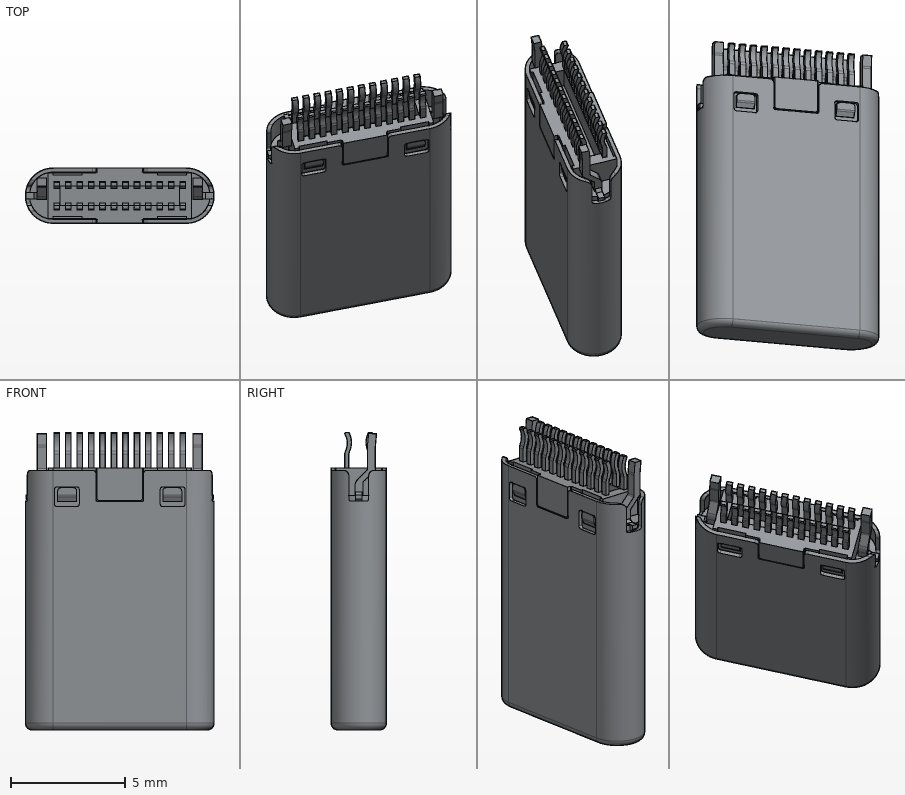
import cadquery as cq

body_width = 8.25
body_depth = 2.42
shell_top = 11.35
shell_wall = 0.18
bottom_round = 0.3
core_width = body_width - 2 * shell_wall
core_depth = body_depth - 2 * shell_wall
outer_y = body_depth / 2
core_y = core_depth / 2

housing_top = 11.46
housing_width = 6.25
end_pocket_floor = 10.26
housing_clearance = 0.03
clearance_floor = 9.7

tab_width = 1.98
tab_bottom = 10.03
tab_gap = 0.05
tab_corner = 0.1
notch_flare = 0.15

recess_width = 5.22
recess_depth_y = 0.84
recess_depth_z = 1.0

window_x = 2.315
window_width = 1.09
window_bottom = 9.76
window_top = 10.63
window_corner = 0.12
latch_x = 2.295
latch_width = 0.83
latch_top = 10.59
latch_corner = 0.15
latch_face_end = 10.27
latch_ramp_start = 10.19
latch_ramp_end = 9.98
latch_face_y = 1.15
latch_ease = 0.02

groove_x = 2.29
groove_width = 1.26
groove_depth = 0.125
groove_bottom = 10.8

end_notch_width = 0.86
end_notch_bottom = 10.0
end_notch_corner = 0.1
end_notch_flare = 0.25

contacts_per_row = 12
contact_pitch = 0.5
contact_width = 0.25
contact_inner_y = 0.43
contact_thickness = 0.19
contact_bend_start = 12.06
contact_bend_end = 12.19
contact_bow_z = 12.54
contact_top = 13.01
contact_tip_chamfer_z = 0.06
contact_tip_chamfer_y = 0.04
contact_bend_shift = 0.035
contact_bow_shift = 0.115

leg_x = 3.405
leg_width = 0.41
leg_thickness = 0.35
leg_upper_y = 0.38
leg_lower_y = -0.17
leg_slant_top = 11.38
leg_tip_bend_start = 12.36
leg_tip_bend_end = 12.45
leg_top = 12.95
leg_tip_shift = 0.05
leg_tip_ease_shift = 0.005
leg_crank_inner_radius = 0.1
foot_reach = 4.09
foot_width = 0.28
foot_bottom = 10.0
foot_shoulder_x = 3.75
foot_root_top = 10.4
foot_nose_low = 10.1
foot_nose_high = 10.28
foot_bevel_x = 4.0

overlap = 0.05
sides = (-1, 1)


def block(x_min, x_max, y_min, y_max, z_min, z_max):
    """Axis-aligned box given by its limits."""
    size = (x_max - x_min, y_max - y_min, z_max - z_min)
    return cq.Workplane().box(*size, centered=False).translate((x_min, y_min, z_min))


def stadium(width, depth, height):
    """Prism with fully rounded ends, standing on z = 0."""
    return cq.Workplane().slot2D(width, depth).extrude(height)


def flared_notch(plane, half_width, bottom, corner, flare):
    """Outline on the given plane of a notch with rounded bottom corners and a flared mouth."""
    mouth = half_width + flare
    rim = shell_top
    above = housing_top + overlap
    return (
        cq.Workplane(plane)
        .moveTo(-half_width + corner, bottom)
        .lineTo(half_width - corner, bottom)
        .radiusArc((half_width, bottom + corner), -corner)
        .lineTo(half_width, rim - flare)
        .radiusArc((mouth, rim), flare)
        .lineTo(mouth, above)
        .lineTo(-mouth, above)
        .lineTo(-mouth, rim)
        .radiusArc((-half_width, rim - flare), flare)
        .lineTo(-half_width, bottom + corner)
        .radiusArc((-half_width + corner, bottom), -corner)
        .close()
    )


def make_shell():
    """Outer sleeve with its end notches, broad-wall notches and windows."""
    shell = stadium(body_width, body_depth, shell_top).faces("<Z").edges().fillet(bottom_round)
    tab_side = tab_width / 2 + tab_gap
    center_notch = flared_notch("XZ", tab_side, tab_bottom - tab_gap, tab_corner, notch_flare)
    end_notch = flared_notch("YZ", end_notch_width / 2, end_notch_bottom, end_notch_corner, end_notch_flare)
    cutter = center_notch.extrude(outer_y, both=True)
    cutter = cutter.union(end_notch.extrude(body_width, both=True))
    window_height = window_top - window_bottom
    for side in sides:
        window = cq.Workplane().box(window_width, body_depth, window_height).edges("|Y").fillet(window_corner)
        cutter = cutter.union(window.translate((side * window_x, 0, (window_top + window_bottom) / 2)))
    core = stadium(core_width, core_depth, shell_top + overlap)
    return shell.cut(cutter.cut(core))


def make_housing_top():
    """Housing block that stands above the shell rim, with the two locating tabs."""
    half = housing_width / 2
    top = block(-half, half, -core_y, core_y, end_pocket_floor, housing_top)
    top = top.intersect(stadium(core_width, core_depth, housing_top))
    tab_height = housing_top - tab_bottom
    tabs = cq.Workplane().box(tab_width, body_depth, tab_height, centered=(True, True, False))
    tabs = tabs.edges("|Y and <Z").fillet(tab_corner)
    return top.union(tabs.translate((0, 0, tab_bottom)))


def make_end_pockets():
    """Space between the housing ends and the rounded shell ends."""
    inner = stadium(core_width, core_depth, housing_top)
    half = housing_width / 2
    pocket = block(half, body_width, -outer_y, outer_y, end_pocket_floor, housing_top)
    return pocket.union(pocket.mirror("YZ")).intersect(inner)


def make_wall_gaps():
    """Thin gaps between the housing faces and the broad shell walls, on both sides of each tab."""
    tab_side = tab_width / 2 + tab_gap
    gap = block(tab_side, housing_width / 2, core_y - housing_clearance, core_y, clearance_floor, housing_top)
    gap = gap.intersect(stadium(core_width, core_depth, housing_top))
    gap = gap.union(gap.mirror("YZ"))
    return gap.union(gap.mirror("XZ"))


def make_grooves():
    """Vertical grooves in both broad housing faces."""
    grooves = cq.Workplane()
    for side_x in sides:
        for side_y in sides:
            center = side_x * groove_x
            groove = cq.Workplane().box(groove_width, groove_depth, housing_top - groove_bottom)
            middle_z = (housing_top + groove_bottom) / 2
            grooves = grooves.add(groove.translate((center, side_y * (core_y - groove_depth / 2), middle_z)))
    return grooves.combine()


def make_latch():
    """Latch on the -Y face: flat face with rounded top corners above a receding ramp."""
    root_y = -core_y + overlap
    profile = [
        (root_y, latch_top),
        (-latch_face_y, latch_top),
        (-latch_face_y, latch_face_end),
        (-latch_face_y + latch_ease, latch_ramp_start),
        (-core_y, latch_ramp_end),
        (root_y, latch_ramp_end),
    ]
    latch = cq.Workplane("YZ").polyline(profile).close().extrude(latch_width / 2, both=True)
    return latch.edges("|Y and >Z").fillet(latch_corner)


def make_contact():
    """Bowed contact of the -Y row, centred on x = 0."""
    inner = -contact_inner_y
    outer = inner - contact_thickness
    root = housing_top - overlap
    outer_tip = (outer, contact_top - contact_tip_chamfer_z)
    inner_bend = (inner + contact_bend_shift, contact_bend_end)
    contact = (
        cq.Workplane("YZ")
        .moveTo(outer, root)
        .lineTo(outer, contact_bend_start)
        .lineTo(outer + contact_bend_shift, contact_bend_end)
        .threePointArc((outer + contact_bow_shift, contact_bow_z), outer_tip)
        .lineTo(outer + contact_tip_chamfer_y, contact_top)
        .lineTo(inner, contact_top)
        .threePointArc((inner + contact_bow_shift, contact_bow_z), inner_bend)
        .lineTo(inner, contact_bend_start)
        .lineTo(inner, root)
        .close()
    )
    return contact.extrude(contact_width / 2, both=True)


def round_bend(leg, y, z, radius):
    """Round the single bend edge of the leg that runs along X through (y, z)."""
    low_corner = (-overlap, y - overlap, z - overlap)
    high_corner = (leg_width + overlap, y + overlap, z + overlap)
    bend = cq.selectors.BoxSelector(low_corner, high_corner)
    return leg.edges(bend).fillet(radius)


def make_leg():
    """Cranked hold-down leg at the +X end, with a foot reaching into the end notch."""
    shift = leg_upper_y - leg_lower_y
    slant_bottom = leg_slant_top - shift
    profile = [
        (leg_lower_y, foot_bottom),
        (leg_lower_y, slant_bottom),
        (leg_upper_y, leg_slant_top),
        (leg_upper_y, leg_tip_bend_start),
        (leg_upper_y + leg_tip_ease_shift, leg_tip_bend_end),
        (leg_upper_y + leg_tip_shift, leg_top),
    ]
    back = [(y + leg_thickness, z) for y, z in reversed(profile)]
    outline = profile + back
    leg = cq.Workplane("YZ").polyline(outline).close().extrude(leg_width)
    leg = round_bend(leg, leg_lower_y, slant_bottom, leg_crank_inner_radius + leg_thickness)
    leg = round_bend(leg, leg_lower_y + leg_thickness, slant_bottom, leg_crank_inner_radius)
    leg = round_bend(leg, leg_upper_y, leg_slant_top, leg_crank_inner_radius)
    leg = leg.translate((leg_x - leg_width / 2, 0, 0))
    foot_profile = [
        (leg_x, foot_bottom),
        (foot_bevel_x, foot_bottom),
        (foot_reach, foot_nose_low),
        (foot_reach, foot_nose_high),
        (foot_shoulder_x, foot_nose_high),
        (leg_x + leg_width / 2, foot_root_top),
        (leg_x, foot_root_top),
    ]
    foot = cq.Workplane("XZ").polyline(foot_profile).close().extrude(foot_width / 2, both=True)
    return leg.union(foot.translate((0, leg_lower_y + leg_thickness / 2, 0)))


result = make_shell().union(make_housing_top())
result = result.cut(make_end_pockets()).cut(make_wall_gaps()).cut(make_grooves())
recess = cq.Workplane().box(recess_width, recess_depth_y, 2 * recess_depth_z)
result = result.cut(recess.translate((0, 0, housing_top)))

latch = make_latch()
leg = make_leg()
for side in sides:
    placed_latch = latch.translate((side * latch_x, 0, 0))
    result = result.union(placed_latch).union(placed_latch.mirror("XZ"))
result = result.union(leg).union(leg.mirror("YZ"))

contact = make_contact()
first_contact_x = -(contacts_per_row - 1) * contact_pitch / 2
for index in range(contacts_per_row):
    placed_contact = contact.translate((first_contact_x + index * contact_pitch, 0, 0))
    result = result.union(placed_contact).union(placed_contact.mirror("XZ"))